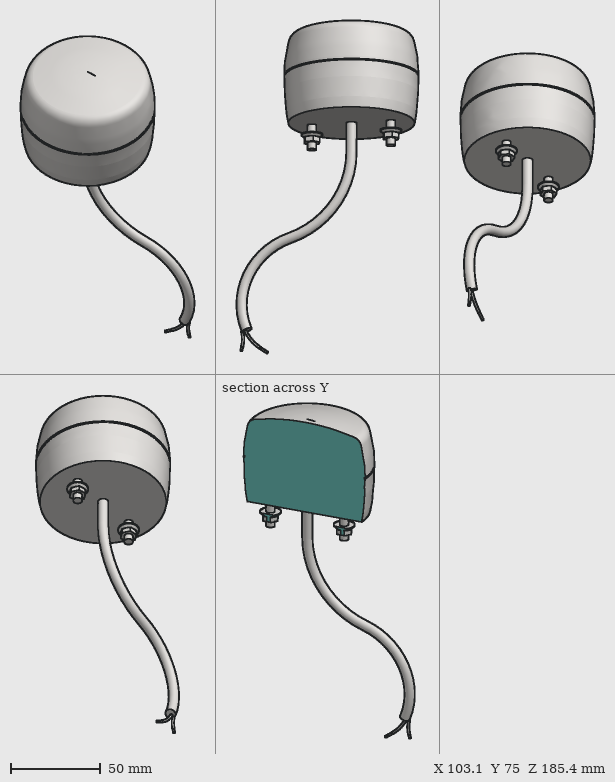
import cadquery as cq
import math

body_radius = 75.0 / 2
dome_top = 54.9
dome_edge_radius, dome_edge_height = 30.5, 51.2
dome_middle_radius, dome_middle_height = 15.5, 54.0
shoulder_radius, shoulder_height = 35.2, 46.2
lens_bulge_radius, lens_bulge_height = 36.9, 38.0
lens_bottom = 29.0
seam_radius = 74.0 / 2
seam_height, seam_width = 27.0, 0.5
wall_radius, wall_height = 37.3, 17.2
wall_bulge_radius, wall_bulge_height = 36.9, 11.5
skirt_radius, skirt_height = 36.3, 6.0
skirt_bulge_radius = 36.0
base_radius = 35.2

stud_spacing = 45.0
stud_diameter = 5.0
stud_length = 14.0
washer_diameter, washer_top, washer_thickness = 11.9, -5.2, 0.5
cone_top_diameter, cone_bottom_diameter, cone_height = 11.7, 8.5, 1.5
hex_corner_diameter = 9.5
hex_height = 3.0
hex_turn = -9.5

cable_diameter = 6.0
cable_drop = 17.0
upper_bend_radius, upper_bend_angle = 49.5, 73.2
lower_bend_radius, lower_bend_angle = 38.5, 96.0

insulation_diameter = 1.5
conductor_diameter = 1.3
long_wire = ((60.5, -116.5), (56.5, -122.7), (51.9, -127.0))
long_conductor_length = 5.0
short_wire = ((62.3, -116.5), (61.7, -121.4), (62.3, -125.9))
short_conductor_length = 2.2


def make_body():
    """Revolve the drum profile, with bulging walls and a shallow seam groove."""
    seam_top = seam_height + seam_width / 2
    seam_bottom = seam_height - seam_width / 2
    profile = (
        cq.Workplane("XZ")
        .moveTo(0, dome_top)
        .threePointArc((dome_middle_radius, dome_middle_height), (dome_edge_radius, dome_edge_height))
        .tangentArcPoint((shoulder_radius, shoulder_height), relative=False)
        .threePointArc((lens_bulge_radius, lens_bulge_height), (body_radius, lens_bottom))
        .lineTo(body_radius, seam_top)
        .lineTo(seam_radius, seam_top)
        .lineTo(seam_radius, seam_bottom)
        .lineTo(body_radius, seam_bottom)
        .lineTo(wall_radius, wall_height)
        .threePointArc((wall_bulge_radius, wall_bulge_height), (skirt_radius, skirt_height))
        .threePointArc((skirt_bulge_radius, skirt_height / 2), (base_radius, 0))
        .lineTo(0, 0)
        .close()
    )
    return profile.revolve(360, (0, 0, 0), (0, 1, 0))


def make_stud(x):
    """Stud with a flat washer, a conical collar and a hexagonal nut below it."""
    washer_bottom = washer_top - washer_thickness
    cone_bottom = washer_bottom - cone_height
    stud = cq.Workplane("XY").circle(stud_diameter / 2).extrude(-stud_length)
    washer = (
        cq.Workplane("XY", origin=(0, 0, washer_top))
        .circle(washer_diameter / 2)
        .extrude(-washer_thickness)
    )
    cone = cq.Workplane(
        cq.Solid.makeCone(
            cone_top_diameter / 2, cone_bottom_diameter / 2, cone_height,
            cq.Vector(0, 0, washer_bottom), cq.Vector(0, 0, -1),
        )
    )
    nut = (
        cq.Workplane("XY", origin=(0, 0, cone_bottom))
        .polygon(6, hex_corner_diameter)
        .extrude(-hex_height)
        .rotate((0, 0, 0), (0, 0, 1), hex_turn)
    )
    return stud.union(washer).union(cone).union(nut).translate((x, 0, 0))


def bend_point(center, radius, angle):
    """Point on a bend, with the angle in degrees from +X toward +Z."""
    turn = math.radians(angle)
    return (center[0] + radius * math.cos(turn), center[1] + radius * math.sin(turn))


def make_cable():
    upper_center = (upper_bend_radius, -cable_drop)
    upper_middle = bend_point(upper_center, upper_bend_radius, 180 + upper_bend_angle / 2)
    joint = bend_point(upper_center, upper_bend_radius, 180 + upper_bend_angle)
    lower_center = bend_point(joint, lower_bend_radius, 180 + upper_bend_angle)
    lower_middle = bend_point(lower_center, lower_bend_radius, upper_bend_angle - lower_bend_angle / 2)
    cable_end = bend_point(lower_center, lower_bend_radius, upper_bend_angle - lower_bend_angle)
    path = (
        cq.Workplane("XZ")
        .lineTo(0, -cable_drop)
        .threePointArc(upper_middle, joint)
        .threePointArc(lower_middle, cable_end)
    )
    return cq.Workplane("XY").circle(cable_diameter / 2).sweep(path)


def rod(diameter, edge):
    """Round rod swept along one edge."""
    section = cq.Plane(origin=edge.startPoint(), normal=edge.tangentAt(0))
    return cq.Workplane(section).circle(diameter / 2).sweep(cq.Workplane(cq.Wire.assembleEdges([edge])))


def make_wire(points, conductor_length):
    """Curved insulated wire with a thinner bare conductor continuing straight on."""
    start, middle, end = (cq.Vector(x, 0, z) for x, z in points)
    insulation_path = cq.Edge.makeThreePointArc(start, middle, end)
    conductor_end = end + insulation_path.tangentAt(1) * conductor_length
    conductor_path = cq.Edge.makeLine(end, conductor_end)
    return rod(insulation_diameter, insulation_path).union(rod(conductor_diameter, conductor_path))


result = make_body()
for side in (-1, 1):
    result = result.union(make_stud(side * stud_spacing / 2))
result = result.union(make_cable())
result = result.union(make_wire(long_wire, long_conductor_length))
result = result.union(make_wire(short_wire, short_conductor_length))